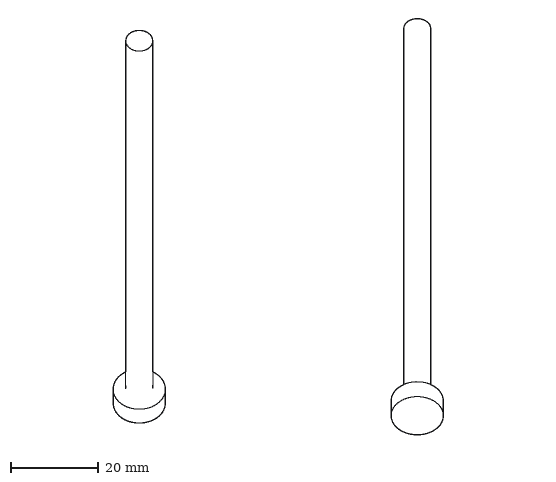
import cadquery as cq

total_length = 130.0
head_diameter = 12.0
head_height = 5.0
shank_diameter = 6.2
neck_fillet_radius = 0.2

head_radius = head_diameter / 2
shank_radius = shank_diameter / 2
fillet_top = head_height + neck_fillet_radius


def headed_pin():
    """Half profile in the XZ plane, turned about Z, with a concave fillet where shank meets head."""
    profile = (
        cq.Workplane("XZ")
        .lineTo(-head_radius, 0)
        .lineTo(-head_radius, head_height)
        .lineTo(-shank_radius - neck_fillet_radius, head_height)
        .radiusArc((-shank_radius, fillet_top), -neck_fillet_radius)
        .lineTo(-shank_radius, total_length)
        .lineTo(0, total_length)
        .close()
    )
    return profile.revolve(360, (0, 0, 0), (0, 1, 0))


result = headed_pin()